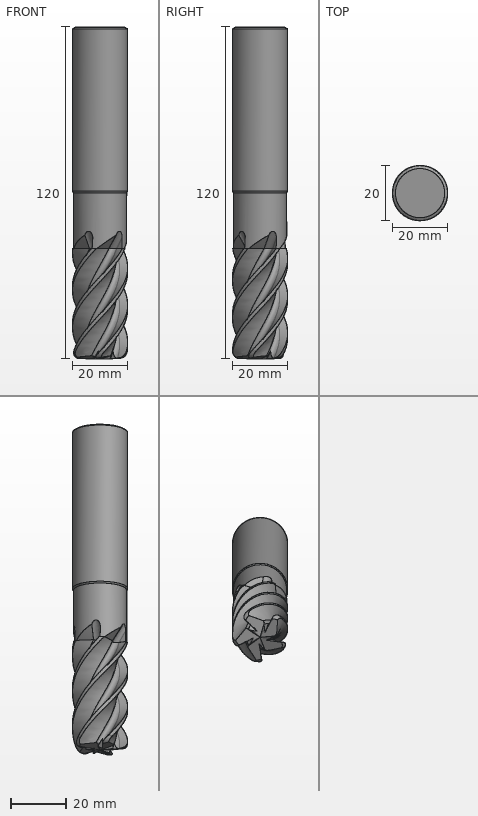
import cadquery as cq
import math

overall_length = 120.0
cutter_diameter = 20.0
cutter_radius = cutter_diameter / 2
cutting_length = 40.0

shank_radius = cutter_diameter / 2
neck_radius = 9.65
shank_start = 60.7
step_height = 0.6
end_chamfer_radial = 1.1
end_chamfer_height = 0.65

flute_count = 5
flute_pitch_angle = 360.0 / flute_count
helix_angle = 43.0
lead = math.pi * cutter_diameter / math.tan(math.radians(helix_angle))
twist_rate = 360.0 / lead
twist_angle = twist_rate * cutting_length
first_edge_angle = 38.4

margin_angle = 10.0
relief_end_radius = 6.0
relief_end_angle = -22.0
rake_end_radius = 7.1
rake_end_angle = 4.5

runout_length = 6.2
runout_rise = 4.9
runout_twist = 15.0
runout_direction = -42.0

outer_radius = 14.0
flute_overrun = 2.0

corner_radius = 3.0
end_relief_angle = 14.0
end_relief_span = 62.0
end_relief_height = 6.0
gash_start_radius = 2.2
gash_climb_angle = 45.0
gash_slope = 50.0
gash_offset = 0.8
gash_top = 3.2
gash_size = 12.0


def polar(radius, angle):
    """Point in the section plane from a radius and an angle in degrees."""
    turn = math.radians(angle)
    return (radius * math.cos(turn), radius * math.sin(turn))


def floor_midpoint(start, end, end_direction):
    """Middle of the arc from start to end that arrives at end along end_direction (degrees)."""
    chord = math.dist(start, end)
    chord_angle = math.degrees(math.atan2(end[1] - start[1], end[0] - start[0]))
    bulge = chord / 2 * math.tan(math.radians(chord_angle - end_direction) / 2)
    side = math.radians(chord_angle + 90)
    return (
        (start[0] + end[0]) / 2 + bulge * math.cos(side),
        (start[1] + end[1]) / 2 + bulge * math.sin(side),
    )


def flute_points(edge_angle):
    """Relief start, relief end, floor middle, rake end and cutting edge of one flute."""
    relief_start = polar(cutter_radius, edge_angle - flute_pitch_angle + margin_angle)
    relief_end = polar(relief_end_radius, edge_angle + relief_end_angle)
    rake_end = polar(rake_end_radius, edge_angle + rake_end_angle)
    edge = polar(cutter_radius, edge_angle)
    rake_direction = math.degrees(math.atan2(edge[1] - rake_end[1], edge[0] - rake_end[0]))
    while rake_direction > edge_angle + 90:
        rake_direction -= 360
    middle = floor_midpoint(relief_end, rake_end, rake_direction)
    return relief_start, relief_end, middle, rake_end, edge


def flute_profile(edge_angle, height):
    """Closed outline of one flute at the given height, open to beyond the cutter surface."""
    relief_start, relief_end, middle, rake_end, edge = flute_points(edge_angle)
    return (
        cq.Workplane("XY", origin=(0, 0, height))
        .moveTo(*relief_start)
        .lineTo(*relief_end)
        .threePointArc(middle, rake_end)
        .lineTo(*edge)
        .lineTo(*polar(outer_radius, edge_angle))
        .lineTo(*polar(outer_radius, edge_angle - flute_pitch_angle + margin_angle))
        .close()
    )


def runout_tool(edge_angle):
    """Flute that climbs out of the neck while it keeps turning."""
    start_wire = flute_profile(edge_angle, cutting_length).val()
    end_edge_angle = edge_angle + runout_twist
    rise = polar(runout_rise, end_edge_angle + runout_direction)
    end_wire = flute_profile(end_edge_angle, cutting_length + runout_length).val()
    end_wire = end_wire.moved(cq.Location(cq.Vector(*rise, 0)))
    return cq.Workplane(cq.Solid.makeLoft([start_wire, end_wire], True))


def flute_tool(edge_angle):
    """Helical flute running past both ends of the cutting part."""
    start_angle = edge_angle - twist_rate * flute_overrun
    tool_length = cutting_length + 2 * flute_overrun
    return flute_profile(start_angle, -flute_overrun).twistExtrude(tool_length, twist_rate * tool_length)


def gash_tool(edge_angle):
    """V notch ahead of an end edge; its root climbs outwards and stops at a flat top."""
    half_length = 2 * outer_radius
    notch_depth = gash_size * math.tan(math.radians(gash_slope))
    notch = (
        cq.Workplane("YZ", origin=(-half_length, 0, 0))
        .lineTo(-gash_size, -notch_depth)
        .lineTo(0, -notch_depth)
        .close()
        .extrude(2 * half_length)
        .rotate((0, 0, 0), (0, 1, 0), -gash_climb_angle)
        .translate((gash_start_radius, gash_offset, 0))
    )
    envelope = cq.Workplane("XY", origin=(0, -cutter_radius, -gash_top)).box(
        outer_radius, 2 * cutter_radius, 2 * gash_top, centered=False
    )
    return notch.intersect(envelope).rotate((0, 0, 0), (0, 0, 1), edge_angle)


def end_relief_tool(edge_angle):
    """Sector behind an end edge, topped by a plane that rises away from the edge."""
    sector = (
        cq.Workplane("XY", origin=(0, 0, -end_relief_height))
        .lineTo(outer_radius, 0)
        .threePointArc(
            polar(outer_radius, end_relief_span / 2), polar(outer_radius, end_relief_span)
        )
        .close()
        .extrude(2 * end_relief_height)
    )
    rise = outer_radius * math.tan(math.radians(end_relief_angle))
    below_plane = (
        cq.Workplane("YZ", origin=(-outer_radius, 0, 0))
        .lineTo(outer_radius, rise)
        .lineTo(outer_radius, -end_relief_height)
        .lineTo(0, -end_relief_height)
        .close()
        .extrude(2 * outer_radius)
    )
    return sector.intersect(below_plane).rotate((0, 0, 0), (0, 0, 1), edge_angle)


holder = (
    cq.Workplane("XZ")
    .polyline([
        (0, cutting_length),
        (neck_radius, cutting_length),
        (neck_radius, shank_start - step_height),
        (shank_radius, shank_start),
        (shank_radius, overall_length - end_chamfer_height),
        (shank_radius - end_chamfer_radial, overall_length),
        (0, overall_length),
    ])
    .close()
    .revolve(360, (0, 0), (0, 1))
    .rotate((0, 0, 0), (0, 0, 1), -90)
)

for index in range(flute_count):
    edge_angle = first_edge_angle + twist_angle + index * flute_pitch_angle
    holder = holder.cut(runout_tool(edge_angle))

cutter = cq.Workplane("XY").circle(cutter_radius).extrude(cutting_length)

for index in range(flute_count):
    cutter = cutter.cut(flute_tool(first_edge_angle + index * flute_pitch_angle), clean=False)

for index in range(flute_count):
    edge_angle = first_edge_angle + index * flute_pitch_angle
    cutter = cutter.cut(gash_tool(edge_angle)).cut(end_relief_tool(edge_angle))

corner_middle = corner_radius * (1 - math.sqrt(0.5))
corner_ring = (
    cq.Workplane("XZ")
    .moveTo(cutter_radius - corner_radius, 0)
    .threePointArc(
        (cutter_radius - corner_middle, corner_middle), (cutter_radius, corner_radius)
    )
    .lineTo(outer_radius, corner_radius)
    .lineTo(outer_radius, -corner_radius)
    .lineTo(cutter_radius - corner_radius, -corner_radius)
    .close()
    .revolve(360, (0, 0), (0, 1))
)
cutter = cutter.cut(corner_ring)

result = cq.Compound.makeCompound([holder.val(), cutter.val()])